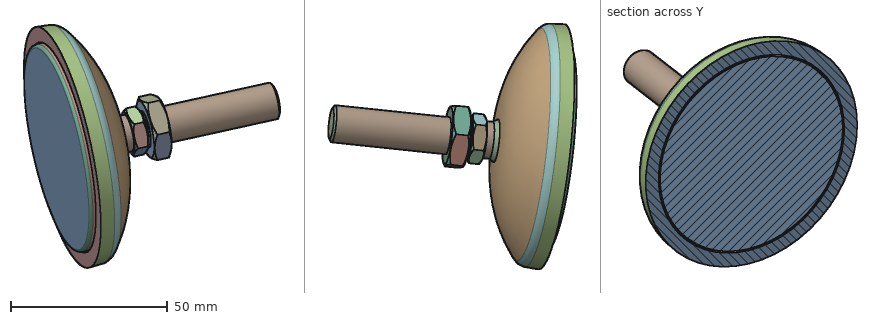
import cadquery as cq
import math

TOTAL_LENGTH = 73.7

PAD_RADIUS = 34.05
PAD_PROJECTION = 2.0
PAD_EDGE_FILLET = 1.0

RIM_RADIUS = 39.5
RIM_TOP_RADIUS = 39.2
RIM_TOP_Y = 6.6
DOME_EDGE_RADIUS = 37.45
DOME_EDGE_Y = 9.4
DOME_TOP_Y = 20.1
RECESS_CLEARANCE = 0.4
RECESS_DEPTH = 3.0

STEM_RADIUS = 6.0
STEM_END_CHAMFER_RADIAL = 1.0
STEM_END_CHAMFER_LENGTH = 0.7
FOOT_RADIUS = 6.95
FOOT_HEIGHT = 1.6
STEM_HEX_Y = 24.1
STEM_HEX_HEIGHT = 4.7
STEM_HEX_FLATS = 14.0
NECK_RADIUS = 5.5
NECK_HEIGHT = 0.55
NECK_TAPER = 0.5

NUT_Y = 29.9
NUT_HEIGHT = 5.9
NUT_FLATS = 19.0

HEX_CHAMFER_ANGLE = math.radians(30)
HEX_FACE_INSET = 0.2


def revolve_about_y(profile):
    """Close an (radius, y) profile and turn it fully about the Y axis."""
    return profile.close().revolve(360, (0, 0, 0), (0, 1, 0))


def chamfered_hexagon(base_y, height, flats, corner_turn):
    """Hexagonal prism along Y whose corners are cut back by a cone at both ends."""
    corner_radius = flats / math.sqrt(3)
    face_radius = flats / 2 - HEX_FACE_INSET
    chamfer_height = (corner_radius - face_radius) * math.tan(HEX_CHAMFER_ANGLE)
    top_y = base_y + height
    prism = (
        cq.Workplane("XZ", origin=(0, base_y, 0))
        .polygon(6, 2 * corner_radius)
        .extrude(-height)
        .rotate((0, 0, 0), (0, 1, 0), corner_turn)
    )
    envelope = revolve_about_y(
        cq.Workplane("XY")
        .moveTo(0, base_y)
        .lineTo(face_radius, base_y)
        .lineTo(corner_radius, base_y + chamfer_height)
        .lineTo(corner_radius, top_y - chamfer_height)
        .lineTo(face_radius, top_y)
        .lineTo(0, top_y)
    )
    return prism.intersect(envelope)


def make_pad():
    """Round pad seated in the plate recess, with a rounded outer edge."""
    thickness = PAD_PROJECTION + RECESS_DEPTH
    return (
        cq.Workplane("XZ")
        .circle(PAD_RADIUS)
        .extrude(-thickness)
        .faces("<Y")
        .edges()
        .fillet(PAD_EDGE_FILLET)
    )


def make_plate():
    """Dome with a flat centre, a rounded shoulder, a tapered rim and a pad recess."""
    dome_run = DOME_EDGE_RADIUS - FOOT_RADIUS
    dome_drop = DOME_TOP_Y - DOME_EDGE_Y
    body = revolve_about_y(
        cq.Workplane("XY")
        .moveTo(0, PAD_PROJECTION)
        .lineTo(0, DOME_TOP_Y)
        .lineTo(FOOT_RADIUS, DOME_TOP_Y)
        .tangentArcPoint((dome_run, -dome_drop))
        .tangentArcPoint((RIM_TOP_RADIUS, RIM_TOP_Y), relative=False)
        .lineTo(RIM_RADIUS, PAD_PROJECTION)
    )
    recess = (
        cq.Workplane("XZ", origin=(0, PAD_PROJECTION, 0))
        .circle(PAD_RADIUS + RECESS_CLEARANCE)
        .extrude(-RECESS_DEPTH)
    )
    return body.cut(recess)


def make_stem():
    """Stem with a flared foot on the dome, a hexagon, a relief neck and a chamfered end."""
    foot_top_y = DOME_TOP_Y + FOOT_HEIGHT
    neck_y = STEM_HEX_Y + STEM_HEX_HEIGHT
    neck_top_y = neck_y + NECK_HEIGHT
    shaft = revolve_about_y(
        cq.Workplane("XY")
        .moveTo(0, DOME_TOP_Y)
        .lineTo(FOOT_RADIUS, DOME_TOP_Y)
        .lineTo(STEM_RADIUS, foot_top_y)
        .lineTo(STEM_RADIUS, neck_y)
        .lineTo(NECK_RADIUS, neck_y)
        .lineTo(NECK_RADIUS, neck_top_y)
        .lineTo(STEM_RADIUS, neck_top_y + NECK_TAPER)
        .lineTo(STEM_RADIUS, TOTAL_LENGTH - STEM_END_CHAMFER_LENGTH)
        .lineTo(STEM_RADIUS - STEM_END_CHAMFER_RADIAL, TOTAL_LENGTH)
        .lineTo(0, TOTAL_LENGTH)
    )
    hexagon = chamfered_hexagon(STEM_HEX_Y, STEM_HEX_HEIGHT, STEM_HEX_FLATS, corner_turn=0)
    return shaft.union(hexagon)


def make_lock_nut(stem):
    """Hexagonal nut bored to fit the stem, with its flats square to X."""
    blank = chamfered_hexagon(NUT_Y, NUT_HEIGHT, NUT_FLATS, corner_turn=30)
    return blank.cut(stem)


pad = make_pad()
plate = make_plate()
stem = make_stem()
lock_nut = make_lock_nut(stem)

result = cq.Compound.makeCompound([pad.val(), plate.val(), stem.val(), lock_nut.val()])